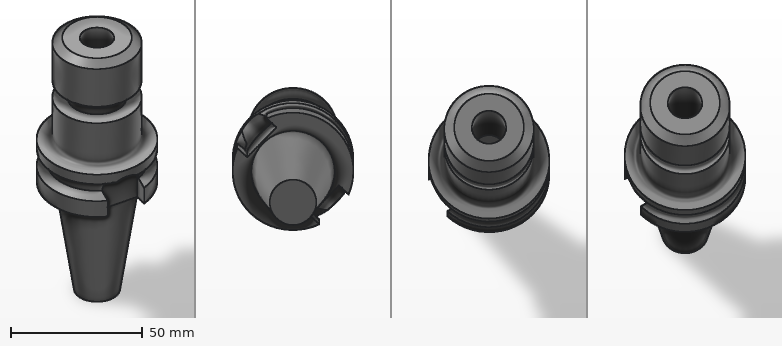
import cadquery as cq
import math

total_height = 118.4

shank_tip_radius = 8.9
shank_radius = 15.9
shank_taper_top = 48.3

flange_radius = 23.03
flange_bottom = 50.5
flange_top = 70.6
groove_radius = 19.2
groove_outer_bottom = 58.0
groove_inner_bottom = 60.0
groove_inner_top = 63.9
groove_outer_top = 66.1

body_radius = 17.0
body_top = 90.5
body_fillet = 2.8

neck_radius = 11.4
neck_top = 93.4
nut_lip_radius = 12.7
nut_lip_bottom = 94.7
nut_bottom = 98.3
nut_chamfer_width = 3.8
nut_chamfer_height = 2.4

bore_radius = 6.5
bore_depth = 35.5

slot_width = 16.1
slot_top = 67.5
slot_floor = 16.5


def revolved_body():
    """Full outer profile, with radius along X and height along Z."""
    fillet_reach = body_fillet * (1 - math.sqrt(0.5))
    return (
        cq.Workplane("XZ")
        .lineTo(shank_tip_radius, 0)
        .lineTo(shank_radius, shank_taper_top)
        .lineTo(shank_radius, flange_bottom)
        .lineTo(flange_radius, flange_bottom)
        .lineTo(flange_radius, groove_outer_bottom)
        .lineTo(groove_radius, groove_inner_bottom)
        .lineTo(groove_radius, groove_inner_top)
        .lineTo(flange_radius, groove_outer_top)
        .lineTo(flange_radius, flange_top)
        .lineTo(body_radius + body_fillet, flange_top)
        .threePointArc(
            (body_radius + fillet_reach, flange_top + fillet_reach),
            (body_radius, flange_top + body_fillet),
        )
        .lineTo(body_radius, body_top)
        .lineTo(neck_radius, body_top)
        .lineTo(neck_radius, neck_top)
        .lineTo(nut_lip_radius, nut_lip_bottom)
        .lineTo(nut_lip_radius, nut_bottom)
        .lineTo(body_radius, nut_bottom)
        .lineTo(body_radius, total_height - nut_chamfer_height)
        .lineTo(body_radius - nut_chamfer_width, total_height)
        .lineTo(0, total_height)
        .close()
        .revolve(360, (0, 0, 0), (0, 1, 0))
    )


def drive_slot(side):
    """Round-topped cutter for one slot; side is -1 or +1 along X."""
    half_width = slot_width / 2
    arc_base = slot_top - half_width
    return (
        cq.Workplane("YZ", origin=(side * slot_floor, 0, 0))
        .moveTo(-half_width, flange_bottom)
        .lineTo(-half_width, arc_base)
        .threePointArc((0, slot_top), (half_width, arc_base))
        .lineTo(half_width, flange_bottom)
        .close()
        .extrude(side * flange_radius)
    )


def bore():
    return (
        cq.Workplane("XY", origin=(0, 0, total_height))
        .circle(bore_radius)
        .extrude(-bore_depth)
    )


result = revolved_body().cut(bore())
for side in (-1, 1):
    result = result.cut(drive_slot(side))